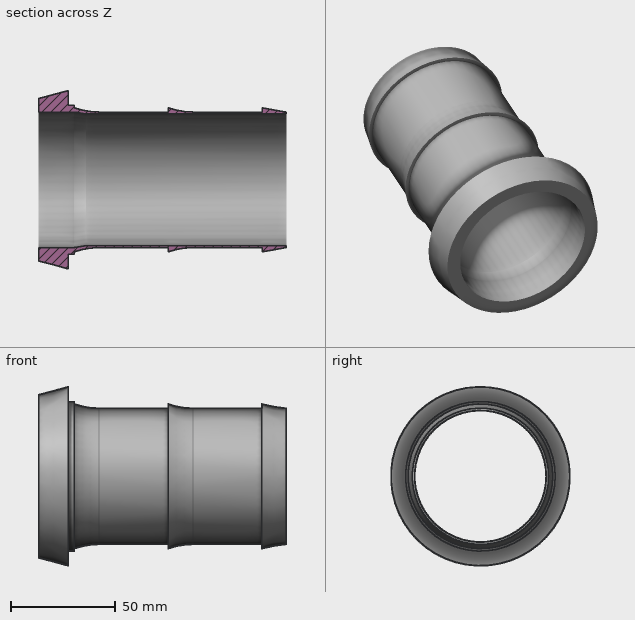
import cadquery as cq
import math

length = 119.0
tube_radius = 32.7

flange_length = 14.3
flange_diameter = 86.0
flange_radius = flange_diameter / 2
flange_taper = 15.0
flange_face_radius = flange_radius - flange_length * math.tan(math.radians(flange_taper))
collar_radius = 35.9
collar_end = 17.1

barb_radius = 34.7
barb_length = 11.8
middle_barb_start = 62.2
end_barb_start = 107.2
tip_length = 0.5

inlet_radius = 32.5
bore_radius = 31.5
inlet_depth = 16.9
bore_cone_length = 6.0

barb_height = barb_radius - tube_radius
flank_radius = (barb_length**2 + barb_height**2) / (2 * barb_height)


def add_curved_barb(profile, start):
    """Step out to the barb crest, then sweep down tangentially to the tube."""
    mid_x = start + barb_length / 2
    sag = flank_radius - math.sqrt(flank_radius**2 - (barb_length / 2) ** 2)
    return profile.lineTo(start, barb_radius).threePointArc(
        (mid_x, tube_radius + sag), (start + barb_length, tube_radius)
    )


profile = (
    cq.Workplane("XY")
    .moveTo(0, inlet_radius)
    .lineTo(0, flange_face_radius)
    .lineTo(flange_length, flange_radius)
    .lineTo(flange_length, collar_radius)
    .lineTo(collar_end, collar_radius)
)
profile = add_curved_barb(profile, collar_end)
profile = profile.lineTo(middle_barb_start, tube_radius)
profile = add_curved_barb(profile, middle_barb_start)
profile = (
    profile.lineTo(end_barb_start, tube_radius)
    .lineTo(end_barb_start, barb_radius)
    .lineTo(length - tip_length, tube_radius)
    .lineTo(length, tube_radius)
)

profile = (
    profile.lineTo(length, bore_radius)
    .lineTo(inlet_depth + bore_cone_length, bore_radius)
    .lineTo(inlet_depth, inlet_radius)
    .close()
)

result = profile.revolve(360, (0, 0, 0), (1, 0, 0))